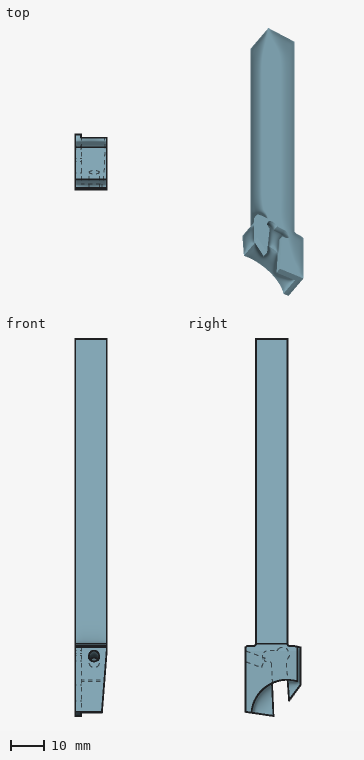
import cadquery as cq
import math

total_height = 113.3
width = 9.5
head_depth = 16.7

shank_front = 3.2
shank_back = shank_front + width
shank_bottom = 21.8

fillet_radius = 0.7
shoulder_z = shank_bottom - fillet_radius
front_chamfer_depth = 0.6
front_chamfer_height = 0.5
rear_slope_start = 14.6
rear_slope_drop = 0.5
front_bottom_z = 1.2
front_tip_y = 8.5
rear_tip_y = 13.1
rear_tip_z = 4.6
rear_jaw_z = 9.4

blade_thickness = 1.8
support_depth = 15.6
clearance_radius = 10.8
clearance_y = 12.6
clearance_z = 0.1

taper_start_z = 19.6
taper_angle = 4.5

neck_front_y = 7.8
neck_rear_y = 12.2
neck_top_z = 16.7
lobe_radius = 1.7
lobe_y = 6.8
lobe_z = 18.0
seat_corner_radius = 0.5
notch_y = 13.3
notch_z = 18.2
crown_start_y = 12.9
crown_start_z = 18.9
crown_top_y = 11.3
crown_top_z = 20.7
crown_end_y = 9.5

hole_diameter = 3.1
hole_x = 5.7
hole_z = 18.0
hole_depth = 5.7
hole_tilt = 20.0


def make_shank():
    shank_height = total_height - shank_bottom
    return cq.Workplane("XY").box(width, width, shank_height, centered=False).translate(
        (0, shank_front, shank_bottom)
    )


def head_outline():
    """Outer head profile, with concave fillets leading up to the shank."""
    inset = fillet_radius * (1 - math.sqrt(0.5))
    fillet_mid_z = shoulder_z + inset
    return (
        cq.Workplane("YZ")
        .moveTo(0, front_bottom_z)
        .lineTo(0, shoulder_z - front_chamfer_height)
        .lineTo(front_chamfer_depth, shoulder_z)
        .lineTo(shank_front - fillet_radius, shoulder_z)
        .threePointArc((shank_front - inset, fillet_mid_z), (shank_front, shank_bottom))
        .lineTo(shank_back, shank_bottom)
        .threePointArc((shank_back + inset, fillet_mid_z), (shank_back + fillet_radius, shoulder_z))
        .lineTo(rear_slope_start, shoulder_z)
        .lineTo(head_depth, shoulder_z - rear_slope_drop)
        .lineTo(head_depth, rear_jaw_z)
        .lineTo(rear_tip_y, rear_tip_z)
        .lineTo(front_tip_y, 0)
        .close()
    )


def insert_seat():
    """Opening between the jaws: a flaring neck, a front lobe and a round crown."""
    lobe_end_y = lobe_y - lobe_radius
    lobe_bottom_z = lobe_z - lobe_radius
    lobe_top_z = lobe_z + lobe_radius
    corner_inset = seat_corner_radius * (1 - math.sqrt(0.5))
    return (
        cq.Workplane("YZ")
        .moveTo(front_tip_y, 0)
        .lineTo(neck_front_y, lobe_bottom_z - seat_corner_radius)
        .threePointArc(
            (neck_front_y - corner_inset, lobe_bottom_z - corner_inset),
            (neck_front_y - seat_corner_radius, lobe_bottom_z),
        )
        .lineTo(lobe_y, lobe_bottom_z)
        .threePointArc((lobe_end_y, lobe_z), (lobe_y, lobe_top_z))
        .lineTo(crown_end_y, lobe_top_z)
        .threePointArc((crown_top_y, crown_top_z), (crown_start_y, crown_start_z))
        .lineTo(notch_y, notch_z)
        .lineTo(neck_rear_y, neck_top_z)
        .lineTo(rear_tip_y, rear_tip_z)
        .close()
        .extrude(blade_thickness)
    )


def make_blade():
    return head_outline().extrude(blade_thickness).cut(insert_seat())


def side_taper():
    taper_inset = taper_start_z * math.tan(math.radians(taper_angle))
    return (
        cq.Workplane("XZ")
        .moveTo(width, taper_start_z)
        .lineTo(width, 0)
        .lineTo(width - taper_inset, 0)
        .close()
        .extrude(-head_depth)
    )


def make_support():
    """Thick block beside the blade, cleared by a cylinder along X."""
    support_width = width - blade_thickness
    block = head_outline().extrude(support_width)
    limit = cq.Workplane("XY").box(support_width, support_depth, total_height, centered=False)
    clearance = (
        cq.Workplane("YZ").center(clearance_y, clearance_z).circle(clearance_radius).extrude(support_width)
    )
    support = block.intersect(limit).cut(clearance).translate((blade_thickness, 0, 0))
    return support.cut(side_taper())


def slanted_hole():
    """Flat-ended drilling that descends inward from the -Y side."""
    tilt = math.radians(hole_tilt)
    inward = cq.Vector(0, math.cos(tilt), -math.sin(tilt))
    start = cq.Vector(hole_x, 0, hole_z) - inward * hole_diameter
    length = hole_depth + hole_diameter
    return cq.Workplane(obj=cq.Solid.makeCylinder(hole_diameter / 2, length, start, inward))


def make_head():
    return make_blade().union(make_support()).cut(slanted_hole())


shank = make_shank()
head = make_head()
result = cq.Compound.makeCompound([shank.val(), *head.solids().vals()])